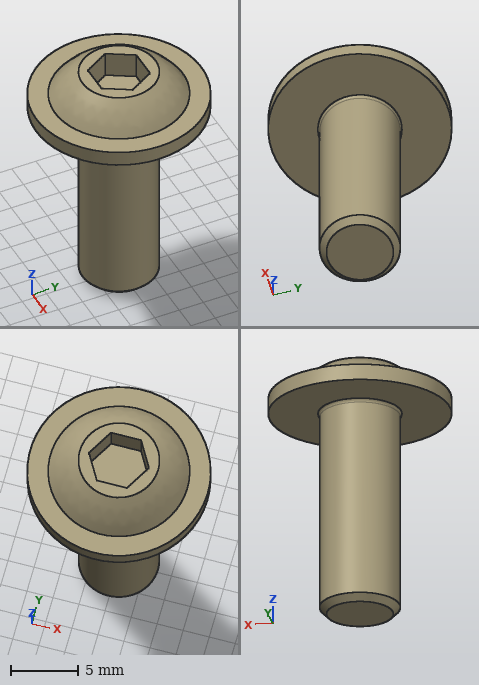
import cadquery as cq
import math

total_length = 19.3
head_height = 3.3
shank_length = total_length - head_height

flange_radius = 13.6 / 2
flange_thickness = 1.22
dome_base_radius = 10.5 / 2
dome_top_radius = 6.0 / 2
dome_bulge = 0.15

shank_radius = 6.0 / 2
tip_chamfer = 0.52
neck_flare = 0.12
neck_height = 0.25

socket_across_flats = 4.0
socket_depth = 2.08


def dome_midpoint():
    """Point on the dome arc, pushed outward from the middle of its chord."""
    chord_run = dome_base_radius - dome_top_radius
    chord_rise = head_height - flange_thickness
    chord = math.hypot(chord_run, chord_rise)
    middle_radius = (dome_base_radius + dome_top_radius) / 2
    middle_height = (flange_thickness + head_height) / 2
    return (
        middle_radius + dome_bulge * chord_rise / chord,
        middle_height + dome_bulge * chord_run / chord,
    )


def screw_body():
    """Revolve the half section of shank, flange and dome about Z."""
    return (
        cq.Workplane("XZ")
        .moveTo(0, -shank_length)
        .lineTo(shank_radius - tip_chamfer, -shank_length)
        .lineTo(shank_radius, tip_chamfer - shank_length)
        .lineTo(shank_radius, -neck_height)
        .tangentArcPoint((shank_radius + neck_flare, 0), relative=False)
        .lineTo(flange_radius, 0)
        .lineTo(flange_radius, flange_thickness)
        .lineTo(dome_base_radius, flange_thickness)
        .threePointArc(dome_midpoint(), (dome_top_radius, head_height))
        .lineTo(0, head_height)
        .close()
        .revolve(360, (0, 0, 0), (0, 1, 0))
    )


def hex_socket():
    """Hexagonal prism with corners on the X axis, sunk from the head top."""
    across_corners = socket_across_flats / math.cos(math.pi / 6)
    return (
        cq.Workplane("XY")
        .workplane(offset=head_height - socket_depth)
        .polygon(6, across_corners)
        .extrude(socket_depth)
    )


result = screw_body().cut(hex_socket())